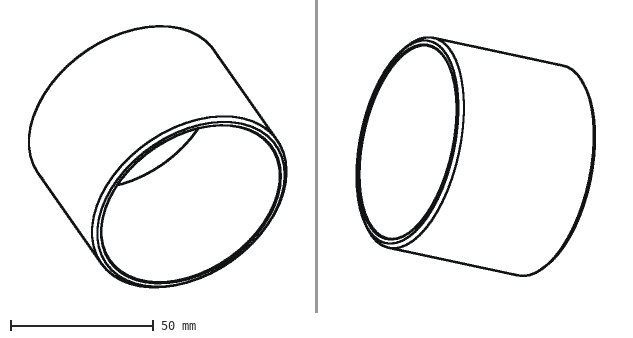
import cadquery as cq

length = 55.0
outer_diameter = 75.18
bore_diameter = 68.9
outer_chamfer = 1.4
bore_edge_break = 0.3


def cylinder_along_x(diameter):
    """Full-length cylinder on the X axis, centred on the origin."""
    left_end = cq.Workplane("YZ", origin=(-length / 2, 0, 0))
    return left_end.circle(diameter / 2).extrude(length)


def pipe_body():
    """Solid outer cylinder with both end edges chamfered."""
    return cylinder_along_x(outer_diameter).edges("%CIRCLE").chamfer(outer_chamfer)


def break_bore_edges(pipe):
    """Small chamfer on the bore edge at both ends."""
    dividing_diameter = (bore_diameter + outer_diameter - 2 * outer_chamfer) / 2
    reach = dividing_diameter / 2
    inner_zone = cq.selectors.BoxSelector(
        (-length, -reach, -reach), (length, reach, reach), boundingbox=True
    )
    return pipe.faces("<X or >X").edges(inner_zone).chamfer(bore_edge_break)


bored_pipe = pipe_body().cut(cylinder_along_x(bore_diameter))
result = break_bore_edges(bored_pipe)